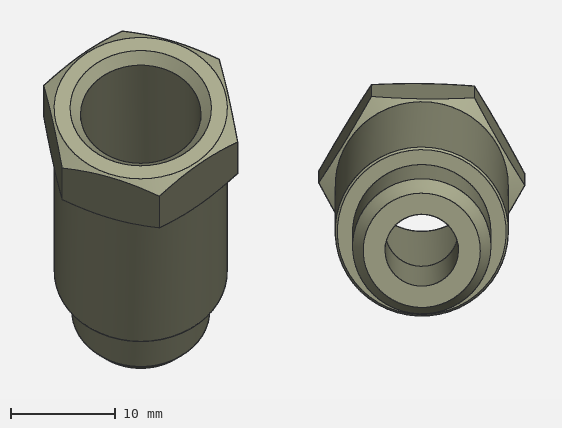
import cadquery as cq
import math

total_height = 35.0
hex_across_flats = 17.0
hex_height = 7.0
hex_face_diameter = 16.52
hex_chamfer_angle = 30.0

body_diameter = 16.52
body_edge_chamfer = 0.2
stem_diameter = 13.2
stem_height = 7.98
tip_diameter = 11.15
tip_height = 1.75

mouth_diameter = 13.48
bore_diameter = 11.48
hole_diameter = 7.0
mouth_angle = 45.0
seat_angle = 59.0
bore_floor = 10.0

hex_bottom = total_height - hex_height
hex_across_corners = hex_across_flats / math.cos(math.radians(30))


def revolve_profile(points):
    """Turn a closed (radius, height) outline around the Z axis."""
    return cq.Workplane("XZ").polyline(points).close().revolve(360, (0, 0), (0, 1))


def make_hex_head():
    """Hexagon with corners on X, chamfered conically at both ends."""
    prism = (
        cq.Workplane("XY")
        .workplane(offset=hex_bottom)
        .polygon(6, hex_across_corners)
        .extrude(hex_height)
    )
    corner_radius = hex_across_corners / 2
    face_radius = hex_face_diameter / 2
    drop = (corner_radius - face_radius) * math.tan(math.radians(hex_chamfer_angle))
    envelope = revolve_profile([
        (0, hex_bottom),
        (face_radius, hex_bottom),
        (corner_radius, hex_bottom + drop),
        (corner_radius, total_height - drop),
        (face_radius, total_height),
        (0, total_height),
    ])
    return prism.intersect(envelope)


def make_shank():
    """Round body stepping down to the tapered stem."""
    body_radius = body_diameter / 2
    stem_radius = stem_diameter / 2
    return revolve_profile([
        (0, 0),
        (tip_diameter / 2, 0),
        (stem_radius, tip_height),
        (stem_radius, stem_height),
        (body_radius - body_edge_chamfer, stem_height),
        (body_radius, stem_height + body_edge_chamfer),
        (body_radius, hex_bottom),
        (0, hex_bottom),
    ])


def make_bore():
    """Flared mouth, straight bore, conical seat and through hole."""
    bore_radius = bore_diameter / 2
    hole_radius = hole_diameter / 2
    mouth_radius = mouth_diameter / 2
    mouth_depth = (mouth_radius - bore_radius) / math.tan(math.radians(mouth_angle))
    seat_depth = (bore_radius - hole_radius) / math.tan(math.radians(seat_angle))
    return revolve_profile([
        (0, 0),
        (hole_radius, 0),
        (hole_radius, bore_floor - seat_depth),
        (bore_radius, bore_floor),
        (bore_radius, total_height - mouth_depth),
        (mouth_radius, total_height),
        (0, total_height),
    ])


result = make_shank().union(make_hex_head()).cut(make_bore())